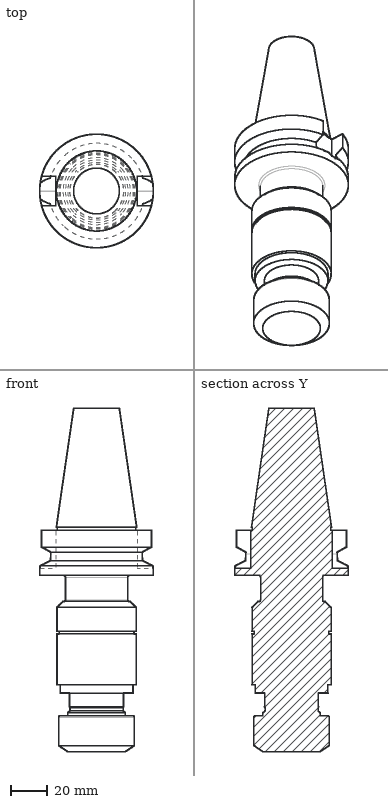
import cadquery as cq
import math


overall_length = 190.0

gauge_diameter = 44.45
taper_length = 65.4
taper_ratio = 7 / 24
tip_diameter = gauge_diameter - taper_ratio * taper_length
gauge_land = 0.5
relief_diameter = 43.5

flange_diameter = 62.98
flange_top = -2.0
flange_bottom = -27.0
groove_root_diameter = 53.2
groove_centre = -16.6
groove_root_width = 4.7
groove_side_angle = 30.0

slot_width = 16.3
slot_floor_distance = 22.6
slot_bottom = -23.0
slot_corner_radius = 8.0

neck_diameter = 34.6
neck_fillet_radius = 1.0

sleeve_top = -41.5
sleeve_shoulder_diameter = 37.2
sleeve_cone_bottom = -44.7
sleeve_diameter = 44.0
parting_top = -58.0
parting_width = 1.4
parting_diameter = 41.5
sleeve_bottom = -87.6
collar_diameter = 40.4
collar_bottom = -92.2

spindle_diameter = 30.0
spindle_bottom = -99.8
spindle_cone_height = 0.4
undercut_diameter = 29.59
undercut_bottom = -102.0
nut_hub_diameter = 31.98
nut_hub_cone_height = 1.0

nut_diameter = 42.0
nut_top = -104.6
nut_fillet_radius = 1.0
nut_bottom = taper_length - overall_length
nut_cone_height = 3.4
nut_face_diameter = 31.98


def turned(*rings):
    """Solid of revolution about Z through (diameter, height) corners, closed along the axis."""
    corners = [(diameter / 2, z) for diameter, z in rings]
    outline = [(0, corners[0][1])] + corners + [(0, corners[-1][1])]
    return cq.Workplane("XZ").polyline(outline).close().revolve(360, (0, 0, 0), (0, 1, 0))


def make_shank():
    return turned(
        (tip_diameter, taper_length),
        (gauge_diameter, 0),
        (gauge_diameter, -gauge_land),
        (relief_diameter, -gauge_land),
        (relief_diameter, flange_top),
    )


def make_flange():
    groove_depth = (flange_diameter - groove_root_diameter) / 2
    half_root = groove_root_width / 2
    half_mouth = half_root + groove_depth * math.tan(math.radians(groove_side_angle))
    return turned(
        (flange_diameter, flange_top),
        (flange_diameter, groove_centre + half_mouth),
        (groove_root_diameter, groove_centre + half_root),
        (groove_root_diameter, groove_centre - half_root),
        (flange_diameter, groove_centre - half_mouth),
        (flange_diameter, flange_bottom),
    )


def make_slot(side):
    """Round-bottomed drive slot, open at the flange top and rim; side is +1 or -1 along X."""
    depth = flange_diameter / 2 - slot_floor_distance
    height = flange_top - slot_bottom
    return (
        cq.Workplane("YZ", origin=(side * slot_floor_distance, 0, slot_bottom + height / 2))
        .rect(slot_width, height)
        .extrude(side * depth)
        .faces("<Z")
        .edges("|X")
        .fillet(slot_corner_radius)
    )


def make_neck():
    """Cylinder whose two ends flare out through quarter-circle fillets."""
    neck_radius = neck_diameter / 2
    end_radius = neck_radius + neck_fillet_radius
    arc_radius = end_radius - neck_fillet_radius * math.sqrt(0.5)
    top_arc_end = flange_bottom - neck_fillet_radius
    arc_rise = neck_fillet_radius * (1 - math.sqrt(0.5))
    return (
        cq.Workplane("XZ")
        .moveTo(0, flange_bottom)
        .lineTo(end_radius, flange_bottom)
        .threePointArc((arc_radius, flange_bottom - arc_rise), (neck_radius, top_arc_end))
        .lineTo(neck_radius, sleeve_top + neck_fillet_radius)
        .threePointArc((arc_radius, sleeve_top + arc_rise), (end_radius, sleeve_top))
        .lineTo(0, sleeve_top)
        .close()
        .revolve(360, (0, 0, 0), (0, 1, 0))
    )


def make_sleeve():
    parting_bottom = parting_top - parting_width
    return turned(
        (sleeve_shoulder_diameter, sleeve_top),
        (sleeve_diameter, sleeve_cone_bottom),
        (sleeve_diameter, parting_top),
        (parting_diameter, parting_top),
        (parting_diameter, parting_bottom),
        (sleeve_diameter, parting_bottom),
        (sleeve_diameter, sleeve_bottom),
        (collar_diameter, sleeve_bottom),
        (collar_diameter, collar_bottom),
    )


def make_spindle():
    return turned(
        (spindle_diameter, collar_bottom),
        (spindle_diameter, spindle_bottom),
        (undercut_diameter, spindle_bottom - spindle_cone_height),
        (undercut_diameter, undercut_bottom),
        (nut_hub_diameter, undercut_bottom - nut_hub_cone_height),
        (nut_hub_diameter, nut_top),
    )


def make_nut():
    body = turned(
        (nut_diameter, nut_top),
        (nut_diameter, nut_bottom + nut_cone_height),
        (nut_face_diameter, nut_bottom),
    )
    return body.faces(">Z").edges().fillet(nut_fillet_radius)


flange = make_flange().cut(make_slot(1)).cut(make_slot(-1))
result = make_shank().union(flange)
for section in (make_neck(), make_sleeve(), make_spindle(), make_nut()):
    result = result.union(section)